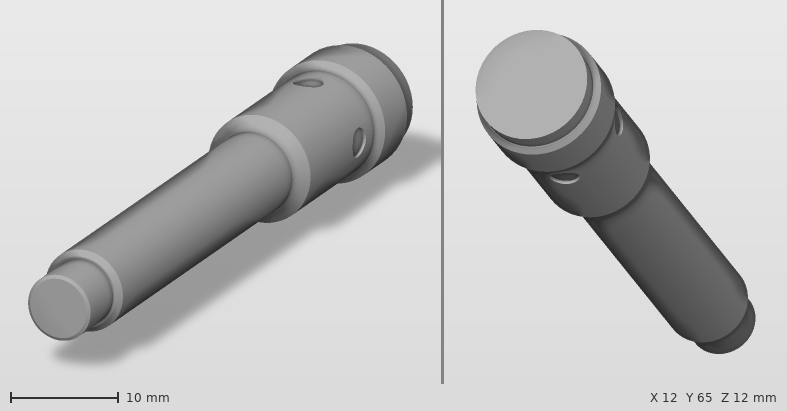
import cadquery as cq

length = 65.0
collar_start = 2.0
collar_end = 8.0
dimple_position = 11.25
body_end = 23.0
shaft_end = 60.0

rear_diameter = 10.8
collar_diameter = 12.0
body_diameter = 10.5
shaft_diameter = 8.0
tip_diameter = 6.45

collar_rear_chamfer = 0.5
shaft_chamfer = 0.5
tip_chamfer_length = 0.2
tip_chamfer_depth = 0.3
collar_front_chamfer = (collar_diameter - body_diameter) / 2
body_chamfer = (body_diameter - shaft_diameter) / 2

dimple_diameter = 2.85
dimple_depth = 0.3
dimple_count = 4

rear_y = length / 2


def section(start, end, diameter):
    """Solid cylinder between two distances from the rear face."""
    plane = cq.Workplane("XZ", origin=(0, rear_y - start, 0))
    return plane.circle(diameter / 2).extrude(end - start)


def make_dimple(angle):
    """Radial cutter that sinks one dimple of constant depth into the body."""
    core = section(collar_end, body_end, body_diameter - 2 * dimple_depth)
    cutter = (
        cq.Workplane("XY", origin=(0, rear_y - dimple_position, 0))
        .circle(dimple_diameter / 2)
        .extrude(body_diameter)
        .cut(core)
    )
    return cutter.rotate((0, 0, 0), (0, 1, 0), angle)


rear = section(0, collar_start, rear_diameter)
collar = (
    section(collar_start, collar_end, collar_diameter)
    .faces(">Y")
    .edges()
    .chamfer(collar_rear_chamfer)
    .faces("<Y")
    .edges()
    .chamfer(collar_front_chamfer)
)
body = section(collar_end, body_end, body_diameter).faces("<Y").edges().chamfer(body_chamfer)
shaft = section(body_end, shaft_end, shaft_diameter).faces("<Y").edges().chamfer(shaft_chamfer)
tip = (
    section(shaft_end, length, tip_diameter)
    .faces("<Y")
    .chamfer(tip_chamfer_length, tip_chamfer_depth)
)

result = rear.union(collar).union(body).union(shaft).union(tip)
for index in range(dimple_count):
    result = result.cut(make_dimple(index * 360 / dimple_count))